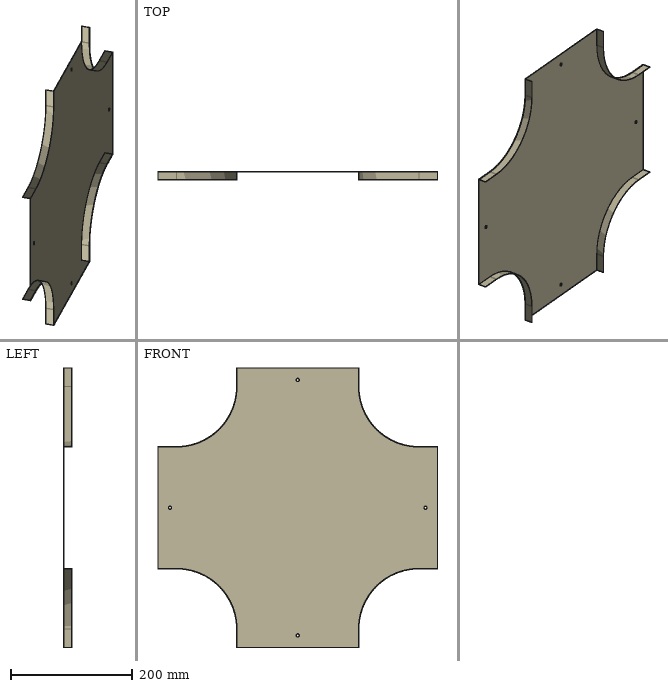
import cadquery as cq
import math

SHEET = 0.8
ARM_WIDTH = 202.0
CORNER_RADIUS = 99.0
STRAIGHT = 31.0
DEPTH = 14.0
HOLE_DIAMETER = 5.0
HOLE_INSET = 20.0

ARM_HALF = ARM_WIDTH / 2
ARC_CENTRE = ARM_HALF + CORNER_RADIUS
ARM_END = ARC_CENTRE + STRAIGHT
ARM_ANGLES = (0, 90, 180, 270)


def corner_cutout(offset):
    """Region outside one rounded corner, grown into the plate by offset."""
    edge = ARM_HALF - offset
    radius = CORNER_RADIUS + offset
    arc_middle = ARC_CENTRE - radius * math.cos(math.radians(45))
    return (
        cq.Workplane("XZ")
        .moveTo(ARM_END, ARM_END)
        .lineTo(edge, ARM_END)
        .lineTo(edge, ARC_CENTRE)
        .threePointArc((arc_middle, arc_middle), (ARC_CENTRE, edge))
        .lineTo(ARM_END, edge)
        .close()
        .extrude(DEPTH)
    )


def turned(body, angle):
    """Body rotated about the Y axis through the plate centre."""
    return body.rotate((0, 0, 0), (0, 1, 0), angle)


def plate():
    """Flat square sheet, before its corners are cut away."""
    return cq.Workplane("XZ").rect(2 * ARM_END, 2 * ARM_END).extrude(SHEET)


def corner_flange():
    """Flange standing toward -Y along one rounded corner."""
    return corner_cutout(SHEET).cut(corner_cutout(0))


def arm_hole():
    """Cutter for the fixing hole near the end of the +X arm."""
    return (
        cq.Workplane("XZ")
        .center(ARM_END - HOLE_INSET, 0)
        .circle(HOLE_DIAMETER / 2)
        .extrude(SHEET)
    )


result = plate()
for angle in ARM_ANGLES:
    result = result.cut(turned(corner_cutout(0), angle))
    result = result.union(turned(corner_flange(), angle))
    result = result.cut(turned(arm_hole(), angle))